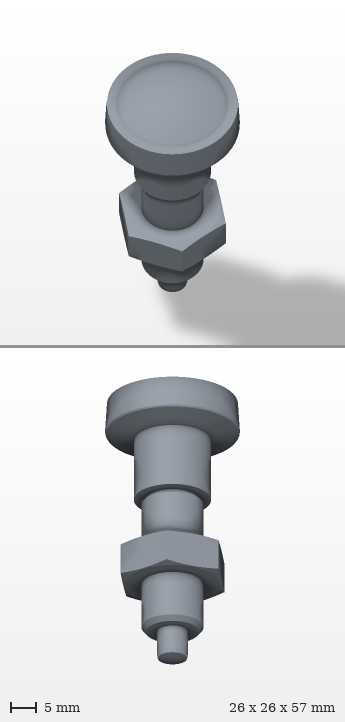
import cadquery as cq
import math


PIN_DIAMETER = 6.0
PIN_TIP_DIAMETER = 5.65
PIN_LENGTH = 6.0
PIN_NOSE_START = 4.5
PIN_NOSE_END = 5.6
NOSE_BULGE = 0.03

BODY_DIAMETER = 12.0
BODY_LENGTH = 28.0
BODY_CHAMFER_DEPTH = 0.87
BODY_CHAMFER_HEIGHT = 1.0

NUT_ACROSS_FLATS = 19.0
NUT_HEIGHT = 7.0
NUT_BOTTOM = 10.0
NUT_FACE_DIAMETER = 18.5
NUT_CHAMFER_ANGLE = 15.0

KNOB_SLEEVE_DIAMETER = 14.93
KNOB_DIAMETER = 26.0
KNOB_TOP_DIAMETER = 25.3
KNOB_FLARE_START = 40.5
KNOB_FLARE_DIAMETER = 25.6
KNOB_FLARE_END = 42.0
KNOB_RIM_LOW = 42.3
KNOB_RIM_HIGH = 42.8
KNOB_FACE = 48.4
RIM_BULGE = 0.07
CAP_DIAMETER = 21.3
CAP_TOP = 51.0


def revolve_about_z(profile):
    """Close a half profile drawn in the XZ plane and turn it about Z."""
    return profile.close().revolve(360, (0, 0, 0), (0, 1, 0))


def make_pin():
    """Pin with a slightly rounded nose and a domed end."""
    radius = PIN_DIAMETER / 2
    tip_radius = PIN_TIP_DIAMETER / 2
    nose_middle = ((radius + tip_radius) / 2 + NOSE_BULGE, -(PIN_NOSE_START + PIN_NOSE_END) / 2)
    dome_height = PIN_LENGTH - PIN_NOSE_END
    dome_radius = (tip_radius**2 + dome_height**2) / (2 * dome_height)
    profile = (
        cq.Workplane("XZ")
        .moveTo(0, BODY_LENGTH)
        .lineTo(radius, BODY_LENGTH)
        .lineTo(radius, -PIN_NOSE_START)
        .threePointArc(nose_middle, (tip_radius, -PIN_NOSE_END))
        .radiusArc((0, -PIN_LENGTH), dome_radius)
    )
    return revolve_about_z(profile)


def make_body():
    """Plain cylinder chamfered at both ends."""
    return (
        cq.Workplane("XY")
        .circle(BODY_DIAMETER / 2)
        .extrude(BODY_LENGTH)
        .faces("<Z or >Z")
        .chamfer(BODY_CHAMFER_HEIGHT, BODY_CHAMFER_DEPTH)
    )


def make_nut():
    """Hexagon with flats facing +Y and -Y, corners bevelled on both faces."""
    corner_radius = NUT_ACROSS_FLATS / math.sqrt(3)
    face_radius = NUT_FACE_DIAMETER / 2
    bevel = (corner_radius - face_radius) * math.tan(math.radians(NUT_CHAMFER_ANGLE))
    top = NUT_BOTTOM + NUT_HEIGHT
    hexagon = (
        cq.Workplane("XY")
        .workplane(offset=NUT_BOTTOM)
        .polygon(6, 2 * corner_radius)
        .extrude(NUT_HEIGHT)
    )
    envelope = (
        cq.Workplane("XZ")
        .moveTo(0, NUT_BOTTOM)
        .lineTo(face_radius, NUT_BOTTOM)
        .lineTo(corner_radius, NUT_BOTTOM + bevel)
        .lineTo(corner_radius, top - bevel)
        .lineTo(face_radius, top)
        .lineTo(0, top)
    )
    return hexagon.intersect(revolve_about_z(envelope))


def make_knob():
    """Sleeve opening into a flared head with a crowned rim and a domed cap."""
    sleeve_radius = KNOB_SLEEVE_DIAMETER / 2
    rim_radius = KNOB_DIAMETER / 2
    top_radius = KNOB_TOP_DIAMETER / 2
    cap_radius = CAP_DIAMETER / 2
    cap_height = CAP_TOP - KNOB_FACE
    dome_radius = (cap_radius**2 + cap_height**2) / (2 * cap_height)
    crown_middle = ((rim_radius + top_radius) / 2 + RIM_BULGE, (KNOB_RIM_HIGH + KNOB_FACE) / 2)
    profile = (
        cq.Workplane("XZ")
        .moveTo(0, BODY_LENGTH)
        .lineTo(sleeve_radius, BODY_LENGTH)
        .lineTo(sleeve_radius, KNOB_FLARE_START)
        .lineTo(KNOB_FLARE_DIAMETER / 2, KNOB_FLARE_END)
        .lineTo(rim_radius, KNOB_RIM_LOW)
        .lineTo(rim_radius, KNOB_RIM_HIGH)
        .threePointArc(crown_middle, (top_radius, KNOB_FACE))
        .lineTo(cap_radius, KNOB_FACE)
        .radiusArc((0, CAP_TOP), -dome_radius)
    )
    return revolve_about_z(profile)


result = make_pin().union(make_body()).union(make_nut()).union(make_knob())